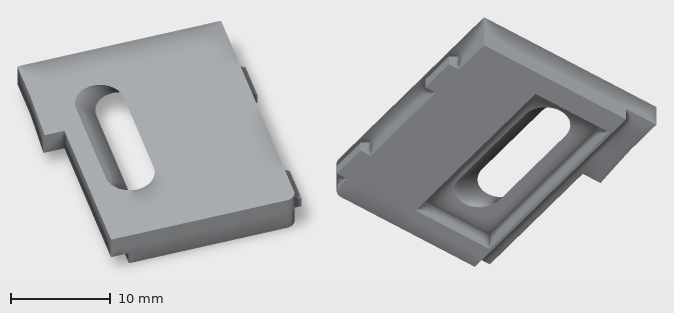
import cadquery as cq

length = 25.65
depth = 22.93
height = 4.0

tab_reach = 1.25
tab_width = 4.0
tab_positions = (4.23, 19.2)
tab_edge_height = 1.1
tab_root_height = 1.87
plate_back = depth - tab_reach
corner_radius = 1.0

nose_width = 9.9
nose_flat_width = 4.33
nose_slope = 0.33
nose_hollow = 0.015
notch_back = 2.2
step_back = 4.08
step_height = 1.45

bevel_stations = (
    (0.0, nose_slope, 0.013, 0.08),
    (nose_flat_width, nose_slope, 0.02, 0.13),
    (nose_width, 0.0, 0.13, 0.82),
)
bevel_overshoot = 0.5

slot_width = 5.0
slot_radius = slot_width / 2
slot_start = 7.28
slot_end = 17.3
slot_y = 6.75
slot_rear_shift = 2.2
slot_start_spread = 0.25
slot_end_spread = 0.92
lower_start = slot_start - slot_start_spread
lower_end = slot_end + slot_end_spread
lower_y = slot_y + slot_rear_shift

pocket_depth = 2.0
pocket_margin = 2.05


def make_plate():
    """Plate with a shallow hollow nose, stepped underneath and rounded at one corner."""
    hollow_middle = ((nose_flat_width + nose_width) / 2, nose_slope / 2 + nose_hollow)
    plate = (
        cq.Workplane("XY")
        .moveTo(0, nose_slope)
        .lineTo(nose_flat_width, nose_slope)
        .threePointArc(hollow_middle, (nose_width, 0))
        .lineTo(nose_width, notch_back)
        .lineTo(length, notch_back)
        .lineTo(length, plate_back)
        .lineTo(0, plate_back)
        .close()
        .extrude(height)
    )
    plate = plate.edges("|Z and >X and >Y").fillet(corner_radius)
    step = cq.Workplane("XY").box(length, step_back, step_height, centered=False)
    return plate.cut(step)


def make_tab(x):
    """Rear tab with a sloping top."""
    return (
        cq.Workplane("YZ", origin=(x, 0, 0))
        .moveTo(plate_back, 0)
        .lineTo(depth, 0)
        .lineTo(depth, tab_edge_height)
        .lineTo(plate_back, tab_root_height)
        .close()
        .extrude(tab_width)
    )


def bevel_section(x, wall_y, inset, drop):
    """Triangular cutter section, carried past the wall along the bevel slope."""
    overshoot = 1 + bevel_overshoot
    top_y = wall_y + inset
    outer_y = top_y - overshoot * inset
    low_z = height - overshoot * drop
    return cq.Wire.makePolygon(
        [
            cq.Vector(x, top_y, height),
            cq.Vector(x, outer_y, low_z),
            cq.Vector(x, outer_y, height),
        ],
        close=True,
    )


def make_bevel(start, end):
    """Cutter between two bevel stations."""
    sections = [bevel_section(*start), bevel_section(*end)]
    return cq.Workplane(obj=cq.Solid.makeLoft(sections, True))


def slot_outline(start_x, end_x, y, z):
    """Closed round-ended outline between two end centres."""
    return (
        cq.Workplane("XY", origin=(0, 0, z))
        .center((start_x + end_x) / 2, y)
        .slot2D(end_x - start_x + slot_width, slot_width)
        .val()
    )


def make_slot():
    """Cutter that leans to the rear as it goes down."""
    upper = slot_outline(slot_start, slot_end, slot_y, height)
    lower = slot_outline(lower_start, lower_end, lower_y, pocket_depth)
    return cq.Workplane(obj=cq.Solid.makeLoft([lower, upper], True))


def make_pocket():
    """Box that leaves a constant margin around the lower mouth of the slot."""
    reach = slot_radius + pocket_margin
    return (
        cq.Workplane("XY")
        .center((lower_start + lower_end) / 2, lower_y)
        .rect(lower_end - lower_start + 2 * reach, 2 * reach)
        .extrude(pocket_depth)
    )


result = make_plate()
for tab_x in tab_positions:
    result = result.union(make_tab(tab_x))
for first, second in zip(bevel_stations, bevel_stations[1:]):
    result = result.cut(make_bevel(first, second))
result = result.cut(make_slot()).cut(make_pocket())